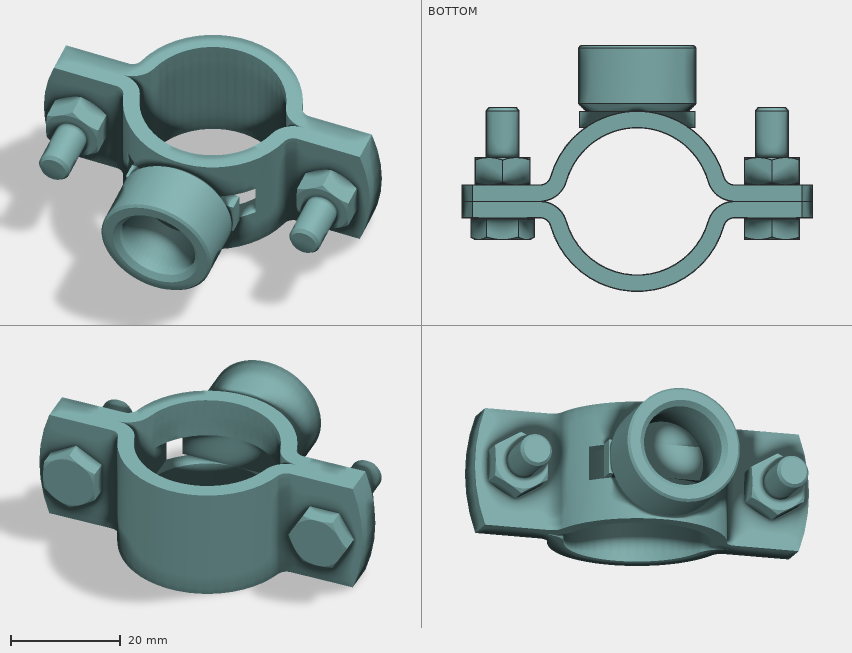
import cadquery as cq
import math


clamp_height = 22.0
clamp_length = 63.8
strap_thickness = 3.0
ring_outer_radius = 16.4
ring_inner_radius = ring_outer_radius - strap_thickness
bend_inside_radius = 2.0
bend_outside_radius = bend_inside_radius + strap_thickness

bend_center_y = strap_thickness + bend_inside_radius
bend_center_distance = ring_outer_radius + bend_inside_radius
bend_center_x = math.sqrt(bend_center_distance**2 - bend_center_y**2)
bend_angle = math.atan2(bend_center_y, bend_center_x)

socket_radius = 10.7
socket_back_y = -ring_outer_radius
socket_front_y = -28.4
socket_back_chamfer = 1.4
socket_front_chamfer = 0.45
bore_radius = 7.4
bore_mouth_radius = 8.35
bore_mouth_depth = bore_mouth_radius - bore_radius
crossbar_length = 21.05
crossbar_width = 6.3
slot_length = 25.0

bolt_spacing = 49.0
bolt_positions = (-bolt_spacing / 2, bolt_spacing / 2)
head_turns = (0, 30)
nut_turn = 30
bolt_radius = 3.0
bolt_tip_y = -17.1
bolt_tip_chamfer_height = 0.65
bolt_tip_chamfer_depth = 0.5
hex_across_flats = 10.0
hex_corner_radius = hex_across_flats / math.sqrt(3)
hex_chamfer_height = (hex_corner_radius - hex_across_flats / 2) * math.tan(math.radians(30))
washer_face_radius = 4.5
washer_face_height = 0.25
head_height = 3.95
nut_height = 5.0


def cylinder_y(radius, y_start, y_end, x=0.0):
    """Cylinder along Y between two y positions."""
    return cq.Workplane("XZ", origin=(x, y_end, 0)).circle(radius).extrude(y_end - y_start)


def polar(radius, angle):
    """Point at a distance and angle from the pipe axis."""
    return (radius * math.cos(angle), radius * math.sin(angle))


def bend_point(radius, angle):
    """Point on the right-hand bend, at an angle about the bend centre."""
    dx, dy = polar(radius, angle)
    return (bend_center_x + dx, bend_center_y + dy)


def mirror_x(point):
    """The same point on the other side of the plane x = 0."""
    return (-point[0], point[1])


def make_clamp_half():
    """Half of the clamp on the +Y side: half ring, two bends and two ears."""
    ear_end = clamp_length / 2
    ring_end_angle = bend_angle - math.pi
    bend_mid_angle = (ring_end_angle - math.pi / 2) / 2
    inner_end = polar(ring_inner_radius, bend_angle)
    inner_bend_mid = bend_point(bend_outside_radius, bend_mid_angle)
    outer_end = polar(ring_outer_radius, bend_angle)
    outer_bend_mid = bend_point(bend_inside_radius, bend_mid_angle)

    strap = (
        cq.Workplane("XY", origin=(0, 0, -clamp_height / 2))
        .moveTo(ear_end, 0)
        .lineTo(bend_center_x, 0)
        .threePointArc(inner_bend_mid, inner_end)
        .threePointArc((0, ring_inner_radius), mirror_x(inner_end))
        .threePointArc(mirror_x(inner_bend_mid), (-bend_center_x, 0))
        .lineTo(-ear_end, 0)
        .lineTo(-ear_end, strap_thickness)
        .lineTo(-bend_center_x, strap_thickness)
        .threePointArc(mirror_x(outer_bend_mid), mirror_x(outer_end))
        .threePointArc((0, ring_outer_radius), outer_end)
        .threePointArc(outer_bend_mid, (bend_center_x, strap_thickness))
        .lineTo(ear_end, strap_thickness)
        .close()
        .extrude(clamp_height)
    )
    strap = strap.intersect(cylinder_y(ear_end, 0, ring_outer_radius))
    for x in bolt_positions:
        strap = strap.cut(cylinder_y(bolt_radius, 0, strap_thickness, x))
    return strap


def make_slotted_half(plain_half):
    """Clamp half on the -Y side, slotted for the crossbar of the socket."""
    slot_depth = ring_outer_radius
    slot = cq.Workplane("XY").box(slot_length, slot_depth, crossbar_width)
    slot = slot.translate((0, -slot_depth / 2, 0))
    return plain_half.mirror("XZ").cut(slot)


def make_socket():
    """Round socket with a bore, and a crossbar on its back face."""
    body = cylinder_y(socket_radius, socket_front_y, socket_back_y)
    body = body.faces(">Y").chamfer(socket_back_chamfer)
    body = body.faces("<Y").chamfer(socket_front_chamfer)
    bore = cylinder_y(bore_radius, socket_front_y, socket_back_y)
    mouth = cq.Workplane("XY").add(
        cq.Solid.makeCone(
            bore_mouth_radius,
            bore_radius,
            bore_mouth_depth,
            cq.Vector(0, socket_front_y, 0),
            cq.Vector(0, 1, 0),
        )
    )
    crossbar = cq.Workplane("XY").box(crossbar_length, strap_thickness, crossbar_width)
    crossbar = crossbar.translate((0, socket_back_y + strap_thickness / 2, 0))
    return body.cut(bore).cut(mouth).union(crossbar)


def make_hexagon(x, y_start, y_end, turn, start_chamfer):
    """Hexagonal prism along Y, corners chamfered at y_end and, with start_chamfer, at y_start.

    Two corners lie along X when turn is 0.
    """
    height = y_end - y_start
    prism = (
        cq.Workplane("XZ", origin=(0, y_end, 0))
        .polygon(6, 2 * hex_corner_radius)
        .extrude(height)
        .rotate((0, 0, 0), (0, 1, 0), turn)
    )
    flat_radius = hex_across_flats / 2
    if start_chamfer:
        profile = [(0, y_start), (flat_radius, y_start), (hex_corner_radius, y_start + hex_chamfer_height)]
    else:
        profile = [(0, y_start), (hex_corner_radius, y_start)]
    profile += [(hex_corner_radius, y_end - hex_chamfer_height), (flat_radius, y_end), (0, y_end)]
    envelope = cq.Workplane("XY").polyline(profile).close().revolve(360, (0, 0, 0), (0, 1, 0))
    return prism.intersect(envelope).translate((x, 0, 0))


def make_bolt(x, head_turn):
    """Hexagon bolt with a washer face under its head."""
    head_seat_y = strap_thickness + washer_face_height
    shank = cylinder_y(bolt_radius, bolt_tip_y, head_seat_y, x)
    shank = shank.faces("<Y").chamfer(bolt_tip_chamfer_height, bolt_tip_chamfer_depth)
    washer_face = cylinder_y(washer_face_radius, strap_thickness, head_seat_y, x)
    head = make_hexagon(x, head_seat_y, strap_thickness + head_height, head_turn, False)
    return head.union(washer_face).union(shank)


def make_nut(x):
    """Hexagon nut, chamfered on both faces, with two corners along Z."""
    seat_y = -strap_thickness
    front_y = seat_y - nut_height
    nut = make_hexagon(x, front_y, seat_y, nut_turn, True)
    return nut.cut(cylinder_y(bolt_radius, front_y, seat_y, x))


plain_half = make_clamp_half()
slotted_half = make_slotted_half(plain_half)
socket = make_socket()
bolts = [make_bolt(x, turn) for x, turn in zip(bolt_positions, head_turns)]
nuts = [make_nut(x) for x in bolt_positions]

result = cq.Compound.makeCompound(
    [plain_half.val(), slotted_half.val(), socket.val()]
    + [bolt.val() for bolt in bolts]
    + [nut.val() for nut in nuts]
)